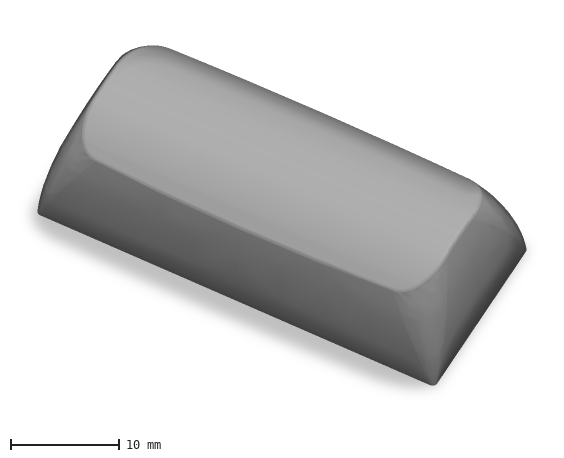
import cadquery as cq

base_length = 42.0
base_width = 18.25
base_corner_radius = 0.5

body_height = 11.45
top_inset = 2.45
top_corner_radius = 4.62
top_side_bow = 0.67
top_end_bow = 0.67

inset_power = 2.5
section_levels = (1 / 3, 2 / 3, 1)

crown_height = 11.4
crown_radius = 15.35
crown_edge_radius = 0.5


def foot_outline():
    """Straight-sided rounded rectangle at the foot."""
    return cq.Sketch().rect(base_length, base_width).vertices().fillet(base_corner_radius)


def body_outline(level):
    """Bowed rounded rectangle at a level between 0 (foot) and 1 (top)."""
    curvature = level**inset_power
    half_length = base_length / 2 - top_inset * curvature
    half_width = base_width / 2 - top_inset * curvature
    corner_x = half_length - top_end_bow * curvature
    corner_y = half_width - top_side_bow * curvature
    corner_radius = base_corner_radius + (top_corner_radius - base_corner_radius) * level
    outline = (
        cq.Sketch()
        .arc((-corner_x, -corner_y), (-half_length, 0), (-corner_x, corner_y))
        .arc((-corner_x, corner_y), (0, half_width), (corner_x, corner_y))
        .arc((corner_x, corner_y), (half_length, 0), (corner_x, -corner_y))
        .arc((corner_x, -corner_y), (0, -half_width), (-corner_x, -corner_y))
        .assemble()
        .vertices()
        .fillet(corner_radius)
    )
    return outline.moved(cq.Location(cq.Vector(0, 0, body_height * level)))


def tapered_body():
    """Smooth loft from the foot to the top outline."""
    upper_outlines = [body_outline(level) for level in section_levels]
    return cq.Workplane("XY").placeSketch(foot_outline(), *upper_outlines).loft()


def crown_cylinder():
    """Cylinder along X whose upper surface is the crown."""
    return (
        cq.Workplane("YZ")
        .center(0, crown_height - crown_radius)
        .circle(crown_radius)
        .extrude(base_length, both=True)
    )


crowned_body = tapered_body().intersect(crown_cylinder())
result = crowned_body.faces(">Z").edges().fillet(crown_edge_radius)